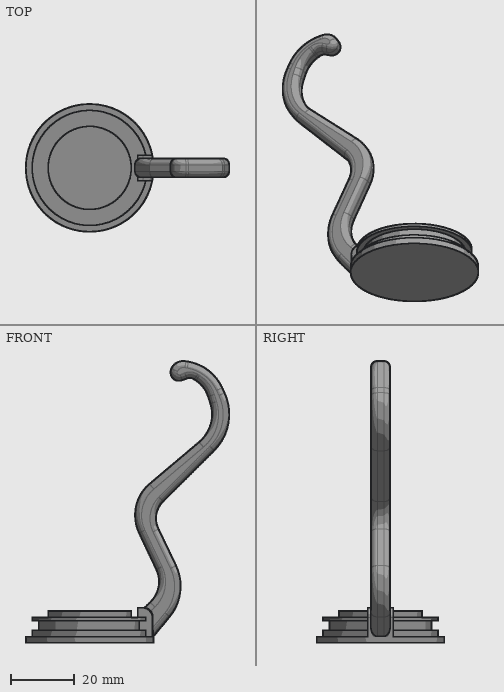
import cadquery as cq
import math

base_radius = 20.0
flange_radius = 18.0
neck_radius = 16.0
pad_radius = 13.0

base_top = 2.0
lower_flange_top = 4.0
neck_top = 7.0
upper_flange_top = 8.0
pad_top = 10.0

block_inner_x = 15.0
block_width = 8.0
block_top = 11.0
block_round = 3.0

hook_thickness = 6.0
hook_round = 2.0
root_outer = (18.6, 0.4)
root_inner = (15.8, 9.7)

outer_bends = [
    (31.15, 15.6, 15.0),
    (19.2, 40.5, 7.5),
    (46.95, 68.1, 16.0),
    (38.2, 86.7, 14.5),
]
tip_bends = [
    (27.0, 88.65, 4.2),
    (22.25, 79.5, 2.7),
]
inner_bends = [
    (31.55, 83.1, 2.5),
    (35.95, 80.3, 9.2),
    (40.0, 67.7, 11.3),
    (11.15, 43.35, 12.8),
    (23.55, 17.2, 9.0),
]


def disc(radius, bottom, top):
    return cq.Workplane("XY").workplane(offset=bottom).circle(radius).extrude(top - bottom)


def make_base():
    body = disc(base_radius, 0, base_top)
    body = body.union(disc(flange_radius, base_top, lower_flange_top))
    body = body.union(disc(neck_radius, lower_flange_top, neck_top))
    body = body.union(disc(flange_radius, neck_top, upper_flange_top))
    return body.union(disc(pad_radius, upper_flange_top, pad_top))


def make_block():
    """Slab cut from a cylinder as wide as the base, its outer top rim rounded."""
    drum = disc(base_radius, 0, block_top).faces(">Z").edges().fillet(block_round)
    length = base_radius
    slab = cq.Workplane("XY").box(length, block_width, block_top, centered=(False, True, False))
    return drum.intersect(slab.translate((block_inner_x, 0, 0)))


def bend_arc(before, corner, after, radius):
    """Start, middle and end of the arc that rounds a corner tangent to both of its sides."""
    corner = cq.Vector(*corner)
    side_in = (cq.Vector(*before) - corner).normalized()
    side_out = (cq.Vector(*after) - corner).normalized()
    half_angle = side_in.getAngle(side_out) / 2
    setback = radius / math.tan(half_angle)
    apex_distance = radius / math.sin(half_angle) - radius
    bisector = (side_in + side_out).normalized()
    start = corner + side_in * setback
    middle = corner + bisector * apex_distance
    end = corner + side_out * setback
    return [point.toTuple()[:2] for point in (start, middle, end)]


def make_hook():
    bends = outer_bends + tip_bends + inner_bends
    corners = [root_outer] + [(x, z) for x, z, _ in bends] + [root_inner]
    outline = cq.Workplane("XZ").moveTo(*root_outer)
    for index, (x, z, radius) in enumerate(bends):
        start, middle, end = bend_arc(corners[index], (x, z), corners[index + 2], radius)
        outline = outline.lineTo(*start).threePointArc(middle, end)
    outline = outline.lineTo(*root_inner).close()
    blank = outline.extrude(hook_thickness / 2, both=True)
    return blank.faces("<Y or >Y").edges().fillet(hook_round)


result = make_base().union(make_block()).union(make_hook())